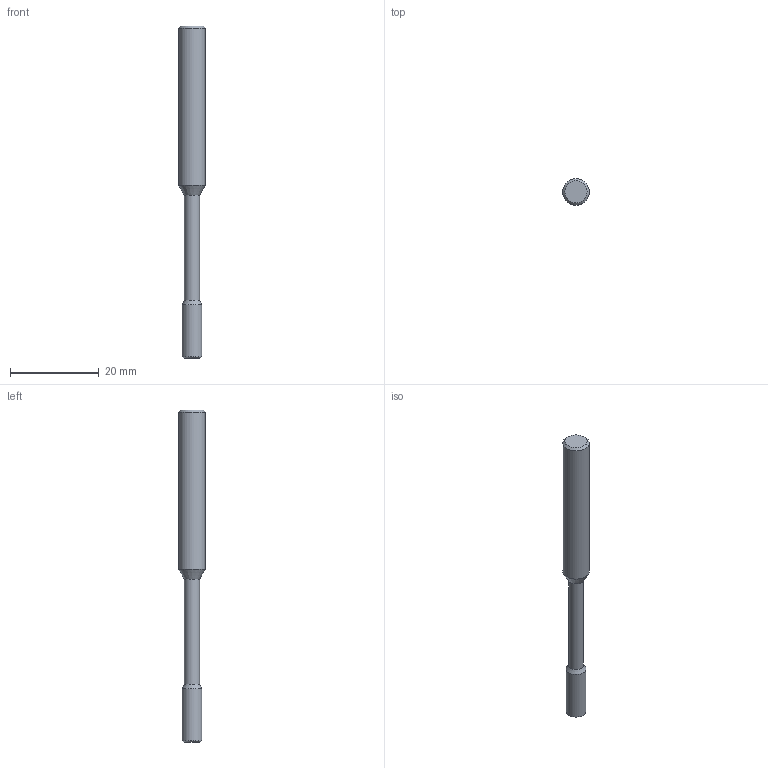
import cadquery as cq
import math

total_length = 75.0

shank_diameter = 6.0
shank_length = 36.0
shank_chamfer = 0.5

neck_diameter = 3.4
cone_half_angle = math.radians(30)

head_diameter = 4.5
head_length = 13.0
bevel_width = 0.5
bevel_angle = math.radians(30)

shank_radius = shank_diameter / 2
neck_radius = neck_diameter / 2
head_radius = head_diameter / 2


def cone_height(large_radius, small_radius):
    """Axial length of a cone between two radii."""
    return (large_radius - small_radius) / math.tan(cone_half_angle)


bevel_height = bevel_width * math.tan(bevel_angle)
head_cone_bottom = head_length - cone_height(head_radius, neck_radius)
shank_bottom = total_length - shank_length
neck_top = shank_bottom - cone_height(shank_radius, neck_radius)


def make_tool():
    """Revolve the half profile about the Z axis."""
    profile = (
        cq.Workplane("XZ")
        .lineTo(head_radius - bevel_width, 0)
        .lineTo(head_radius, bevel_height)
        .lineTo(head_radius, head_cone_bottom)
        .lineTo(neck_radius, head_length)
        .lineTo(neck_radius, neck_top)
        .lineTo(shank_radius, shank_bottom)
        .lineTo(shank_radius, total_length - shank_chamfer)
        .lineTo(shank_radius - shank_chamfer, total_length)
        .lineTo(0, total_length)
        .close()
    )
    return profile.revolve(360, (0, 0, 0), (0, 1, 0))


result = make_tool()